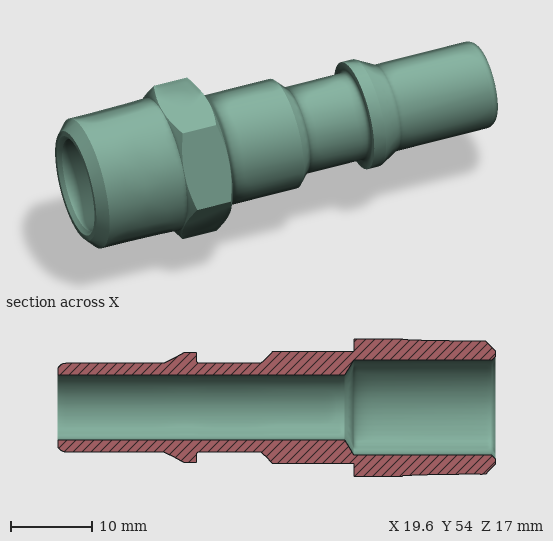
import cadquery as cq
import math

length = 54.0
threaded_end = -length / 2
tip_end = length / 2

thread_length = 11.45
thread_end_radius = 8.25
thread_root_radius = 8.4
thread_chamfer_length = 1.25
thread_face_radius = 6.95

hex_across_flats = 17.0
hex_length = 6.05
hex_chamfer_radius = 8.4
hex_chamfer_angle = 30.0

body_radius = 6.95
body_length = 10.0
shoulder_length = 1.45
plug_radius = 5.5
neck_length = 7.95
collar_radius = 6.8
collar_length = 1.55
collar_ramp_length = 2.5
collar_fillet = 0.3
tip_rounding_length = 1.0
tip_face_radius = 4.9
tip_rounding_bulge = 0.15

bore_radius = 4.0
counterbore_radius = 5.85
counterbore_mouth_radius = 6.3
counterbore_depth = thread_length + hex_length
drill_point_angle = 118.0

hex_start = threaded_end + thread_length
hex_end = hex_start + hex_length
body_end = hex_end + body_length
neck_start = body_end + shoulder_length
collar_start = neck_start + neck_length
collar_end = collar_start + collar_length
ramp_end = collar_end + collar_ramp_length
tip_rounding_start = tip_end - tip_rounding_length


def revolve_about_y(profile):
    return profile.close().revolve(360, (0, 0, 0), (0, 1, 0))


def bulged_midpoint(start, end, bulge):
    """Point beside the middle of a chord, offset to the right of its direction."""
    dx = end[0] - start[0]
    dy = end[1] - start[1]
    chord = math.hypot(dx, dy)
    return ((start[0] + end[0]) / 2 + bulge * dy / chord,
            (start[1] + end[1]) / 2 - bulge * dx / chord)


def turned_body():
    rounding_foot = (plug_radius, tip_rounding_start)
    rounding_top = (tip_face_radius, tip_end)
    fillet_reach = collar_fillet * (1 - math.sqrt(0.5))
    fillet_middle = (plug_radius + fillet_reach, collar_start - fillet_reach)
    profile = (
        cq.Workplane("XY")
        .moveTo(0, threaded_end)
        .lineTo(thread_face_radius, threaded_end)
        .lineTo(thread_end_radius, threaded_end + thread_chamfer_length)
        .lineTo(thread_root_radius, hex_start)
        .lineTo(thread_root_radius, hex_end)
        .lineTo(body_radius, hex_end)
        .lineTo(body_radius, body_end)
        .lineTo(plug_radius, neck_start)
        .lineTo(plug_radius, collar_start - collar_fillet)
        .threePointArc(fillet_middle, (plug_radius + collar_fillet, collar_start))
        .lineTo(collar_radius, collar_start)
        .lineTo(collar_radius, collar_end)
        .lineTo(plug_radius, ramp_end)
        .lineTo(*rounding_foot)
        .threePointArc(bulged_midpoint(rounding_foot, rounding_top, tip_rounding_bulge), rounding_top)
        .lineTo(0, tip_end)
    )
    return revolve_about_y(profile)


def hexagon():
    """Hexagon with flats facing +Z and -Z and both ends chamfered by a cone."""
    corner_count = 6
    corner_diameter = hex_across_flats / math.cos(math.pi / corner_count)
    prism = (
        cq.Workplane("XZ", origin=(0, hex_end, 0))
        .polygon(corner_count, corner_diameter)
        .extrude(hex_length)
    )
    corner_radius = corner_diameter / 2
    cone_length = (corner_radius - hex_chamfer_radius) * math.tan(math.radians(hex_chamfer_angle))
    envelope = (
        cq.Workplane("XY")
        .moveTo(0, hex_start)
        .lineTo(hex_chamfer_radius, hex_start)
        .lineTo(corner_radius, hex_start + cone_length)
        .lineTo(corner_radius, hex_end - cone_length)
        .lineTo(hex_chamfer_radius, hex_end)
        .lineTo(0, hex_end)
    )
    return prism.intersect(revolve_about_y(envelope))


def stepped_bore():
    """Through bore with a drilled counterbore chamfered at 45 degrees at its mouth."""
    counterbore_end = threaded_end + counterbore_depth
    mouth_chamfer = counterbore_mouth_radius - counterbore_radius
    point_slope = math.tan(math.radians(drill_point_angle / 2))
    point_length = (counterbore_radius - bore_radius) / point_slope
    profile = (
        cq.Workplane("XY")
        .moveTo(0, threaded_end)
        .lineTo(counterbore_mouth_radius, threaded_end)
        .lineTo(counterbore_radius, threaded_end + mouth_chamfer)
        .lineTo(counterbore_radius, counterbore_end)
        .lineTo(bore_radius, counterbore_end + point_length)
        .lineTo(bore_radius, tip_end)
        .lineTo(0, tip_end)
    )
    return revolve_about_y(profile)


result = turned_body().union(hexagon()).cut(stepped_bore())